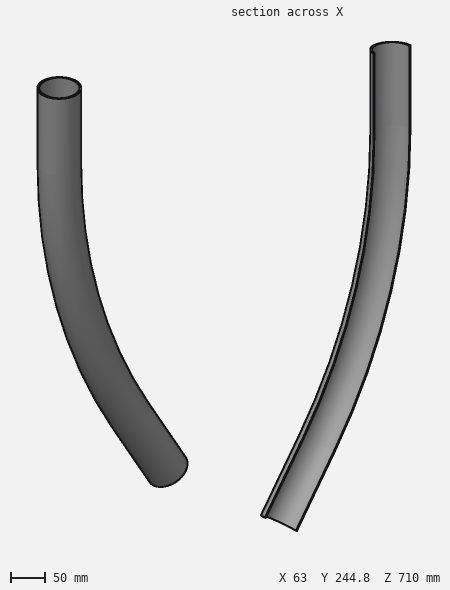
import cadquery as cq
import math

overall_height = 710.0
outer_diameter = 63.0
inner_diameter = 57.5
bend_radius = 914.0
bend_angle = 30.0

bend_radians = math.radians(bend_angle)
bend_height = bend_radius * math.sin(bend_radians)
rim_drop = outer_diameter / 2 * math.sin(bend_radians)
straight_length = (overall_height - bend_height - rim_drop) / (1 + math.cos(bend_radians))


def bend_point(angle):
    """Centreline point (Y, Z) at an angle in radians along the bend, below the upper straight."""
    y = bend_radius * (1 - math.cos(angle))
    z = -straight_length - bend_radius * math.sin(angle)
    return y, z


bend_end_y, bend_end_z = bend_point(bend_radians)
lower_end = (
    bend_end_y + straight_length * math.sin(bend_radians),
    bend_end_z - straight_length * math.cos(bend_radians),
)
centreline = (
    cq.Workplane("YZ")
    .moveTo(0, 0)
    .lineTo(*bend_point(0))
    .threePointArc(bend_point(bend_radians / 2), (bend_end_y, bend_end_z))
    .lineTo(*lower_end)
)

result = (
    cq.Workplane("XY")
    .circle(outer_diameter / 2)
    .circle(inner_diameter / 2)
    .sweep(centreline)
)